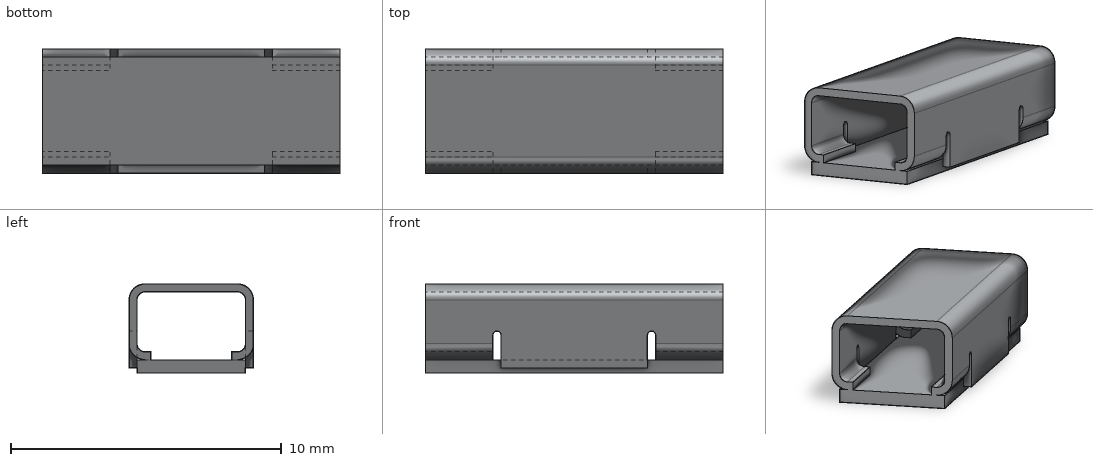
import cadquery as cq

length = 11.0
width = 4.6
height = 3.3

wall = 0.3
inner_radius = wall
outer_radius = inner_radius + wall
lip_reach = 0.8

plate_thickness = 0.5
plate_width = width - 2 * wall

slot_offset = 2.5
slot_width = wall
slot_top = 1.55
tab_bottom = 0.2
tab_length = length - 2 * (slot_offset + slot_width)


def block(size_x, size_y, bottom, top):
    """Box centred in X and Y, spanning the given heights."""
    return cq.Workplane("XY").workplane(offset=bottom).rect(size_x, size_y).extrude(top - bottom)


def rounded_bar(bar_width, bottom, top, radius):
    """Full-length bar with all four long edges rounded."""
    return block(length, bar_width, bottom, top).edges("|X").fillet(radius)


def bent_shell():
    """Rounded tube, split along the bottom to leave two inward lips."""
    outside = rounded_bar(width, plate_thickness, height, outer_radius)
    inside = rounded_bar(width - 2 * wall, plate_thickness + wall, height - wall, inner_radius)
    lip_gap = block(length, width - 2 * lip_reach, plate_thickness, plate_thickness + wall)
    return outside.cut(inside).cut(lip_gap)


def side_tabs():
    """Straight walls that run down past the plate at mid-length."""
    outside = block(tab_length, width, tab_bottom, slot_top)
    return outside.cut(block(tab_length, plate_width, tab_bottom, slot_top))


def relief_slots():
    """Round-topped slots through both sides, open to the plate's top face."""
    slot_radius = slot_width / 2
    slot_x = tab_length / 2 + slot_radius
    arc_height = slot_top - slot_radius
    slots = cq.Workplane("XZ")
    for x in (-slot_x, slot_x):
        slots = (
            slots.moveTo(x - slot_radius, plate_thickness)
            .lineTo(x - slot_radius, arc_height)
            .threePointArc((x, slot_top), (x + slot_radius, arc_height))
            .lineTo(x + slot_radius, plate_thickness)
            .close()
        )
    return slots.extrude(width / 2, both=True)


bend_top = plate_thickness + outer_radius
mid_opening = block(tab_length, width, plate_thickness, bend_top)
base_plate = block(length, plate_width, 0, plate_thickness)

shell = bent_shell().cut(mid_opening).union(side_tabs()).cut(relief_slots())
result = shell.union(base_plate)